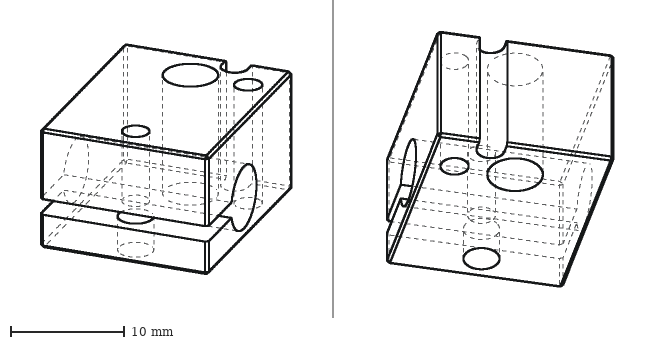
import cadquery as cq

width = 16.0
depth = 20.0
height = 11.5
edge_chamfer = 0.25

main_bore_diameter = 4.92
side_hole_diameter = 2.5
clamp_hole_diameter = 2.45
lower_jaw_hole_diameter = 3.2
rear_hole_y = 15.75
side_hole_x = 5.5
clamp_hole_y = 2.75

notch_width = 2.5
notch_x = 2.95
notch_centre_y = 18.88

clamp_bore_diameter = 6.0
clamp_bore_y = 8.5
clamp_bore_z = 4.0
slit_height = 1.5


def vertical_cutter(x, y, diameter, top=height):
    """Cylinder from the bottom face up to the given top, by default the full height."""
    return cq.Workplane("XY").center(x, y).circle(diameter / 2).extrude(top)


def rear_notch():
    """Slot through the full height with a round inner end."""
    straight_length = depth - notch_centre_y
    straight = (
        cq.Workplane("XY")
        .center(notch_x, notch_centre_y + straight_length / 2)
        .rect(notch_width, straight_length)
        .extrude(height)
    )
    return straight.union(vertical_cutter(notch_x, notch_centre_y, notch_width))


def split_clamp():
    """Cross bore and the slit joining it to the front face."""
    bore = (
        cq.Workplane("YZ", origin=(-width / 2, 0, 0))
        .center(clamp_bore_y, clamp_bore_z)
        .circle(clamp_bore_diameter / 2)
        .extrude(width)
    )
    slit = cq.Workplane("XY").box(width, clamp_bore_y, slit_height)
    return bore.union(slit.translate((0, clamp_bore_y / 2, clamp_bore_z)))


block = (
    cq.Workplane("XY")
    .box(width, depth, height)
    .translate((0, depth / 2, height / 2))
    .edges()
    .chamfer(edge_chamfer)
)

result = (
    block.cut(vertical_cutter(0, rear_hole_y, main_bore_diameter))
    .cut(vertical_cutter(side_hole_x, rear_hole_y, side_hole_diameter))
    .cut(vertical_cutter(0, clamp_hole_y, clamp_hole_diameter))
    .cut(vertical_cutter(0, clamp_hole_y, lower_jaw_hole_diameter, clamp_bore_z))
    .cut(rear_notch())
    .cut(split_clamp())
)